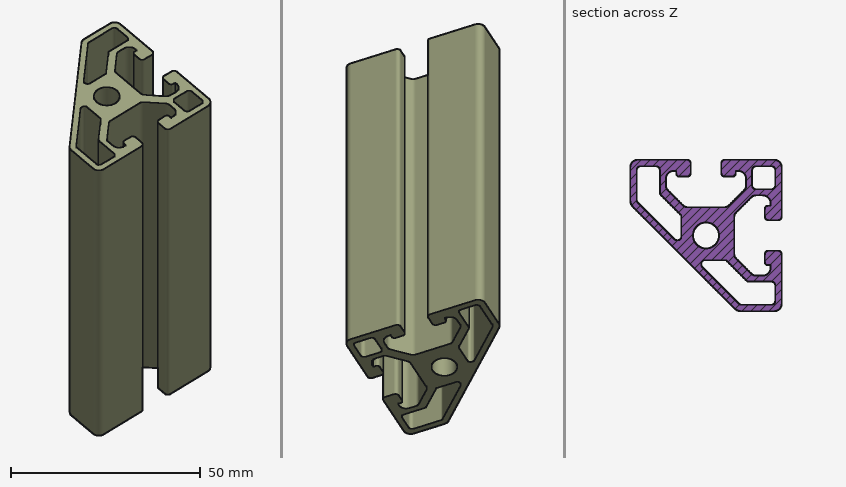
import cadquery as cq
import math

side = 40.0
length = 100.0
half = side / 2
hole_diameter = 6.8

corner_radius = 2.0
bevel_offset = 11.75
bevel_corner_radius = 2.3

slot_opening_half_width = 4.0
slot_half_width = 10.55
slot_floor = 7.5
lip_bottom = 15.5
lip_inner = 7.85
groove_top = 17.0
slot_slope = 1.9
lip_outer_radius = 1.0
lip_inner_radius = 0.8
groove_radius = 2.0
slope_radius = 1.5

skin = 1.75
chamber_outer = half - skin
chamber_inner = 12.2
chamber_radius = 1.0
core_half_width = 6.55
chamber_end = -1.2
chamber_end_radius = 0.8
chamber_slope = 1.25
chamber_bevel_offset = 9.25


def rounded_outline(corners):
    """Closed outline through (x, y, radius) corners, each rounded by a tangent arc."""
    pieces = []
    for i, (x, y, radius) in enumerate(corners):
        corner = cq.Vector(x, y)
        before = cq.Vector(*corners[i - 1][:2])
        after = cq.Vector(*corners[(i + 1) % len(corners)][:2])
        to_before = (before - corner).normalized()
        to_after = (after - corner).normalized()
        half_angle = to_before.getAngle(to_after) / 2
        setback = radius / math.tan(half_angle)
        bisector = (to_before + to_after).normalized()
        middle = corner + bisector * (radius / math.sin(half_angle) - radius)
        pieces.append((corner + to_before * setback, middle, corner + to_after * setback, radius))

    outline = cq.Workplane("XY").moveTo(pieces[0][2].x, pieces[0][2].y)
    for start, middle, end, radius in pieces[1:] + pieces[:1]:
        outline = outline.lineTo(start.x, start.y)
        if radius > 0:
            outline = outline.threePointArc((middle.x, middle.y), (end.x, end.y))
    return outline.close()


def swap_axes(corners):
    """Reflect corners about the line y = x, keeping the direction of travel."""
    return [(y, x, radius) for x, y, radius in reversed(corners)]


def top_slot():
    """Corners of the slot in the +Y face, from left to right."""
    right = [
        (slot_floor - slot_slope, slot_floor, slope_radius),
        (slot_half_width, slot_half_width + slot_slope, slope_radius),
        (slot_half_width, groove_top, groove_radius),
        (lip_inner, groove_top, 0),
        (lip_inner, lip_bottom, lip_inner_radius),
        (slot_opening_half_width, lip_bottom, lip_outer_radius),
        (slot_opening_half_width, half, lip_outer_radius),
    ]
    left = [(-x, y, radius) for x, y, radius in reversed(right)]
    return left + right


def outer_outline():
    """Outline of the whole section, with both slots open to the outside."""
    bevel_end = half - bevel_offset
    top = [
        (-half, bevel_end, bevel_corner_radius),
        (-half, half, corner_radius),
    ] + top_slot()
    return rounded_outline(top + [(half, half, corner_radius)] + swap_axes(top))


def long_chamber():
    """Corners of the chamber between the -X face, the bevel and the core."""
    return [
        (-chamber_outer, chamber_outer - chamber_bevel_offset, chamber_end_radius),
        (-chamber_outer, chamber_outer, chamber_radius),
        (-chamber_inner, chamber_outer, chamber_radius),
        (-chamber_inner, chamber_inner - chamber_slope, 0),
        (-core_half_width, core_half_width - chamber_slope, 0),
        (-core_half_width, chamber_end, chamber_end_radius),
        (-chamber_bevel_offset - chamber_end, chamber_end, chamber_end_radius),
    ]


def corner_chamber():
    """Corners of the square chamber in the +X +Y corner."""
    return [
        (chamber_inner, chamber_inner, chamber_radius),
        (chamber_inner, chamber_outer, chamber_radius),
        (chamber_outer, chamber_outer, chamber_radius),
        (chamber_outer, chamber_inner, chamber_radius),
    ]


result = outer_outline().extrude(length)
for chamber in (long_chamber(), swap_axes(long_chamber()), corner_chamber()):
    result = result.cut(rounded_outline(chamber).extrude(length))
result = result.cut(cq.Workplane("XY").circle(hole_diameter / 2).extrude(length))